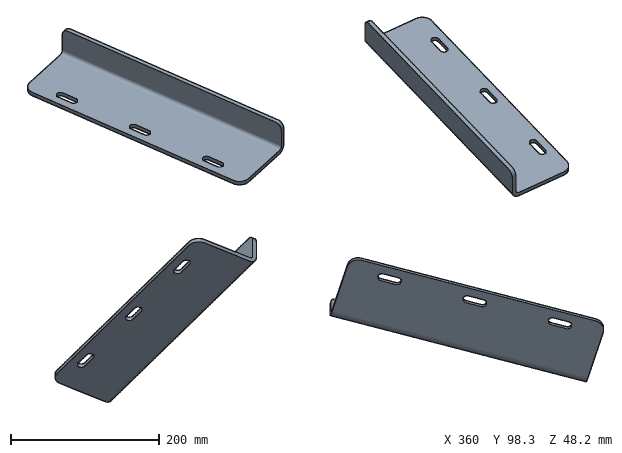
import cadquery as cq

length = 360.0
depth = 98.3
height = 48.2

thickness = 6.0
inner_bend_radius = 5.0
outer_bend_radius = inner_bend_radius + thickness

base_corner_radius = 15.0
flange_corner_radius = 10.0

slot_count = 3
slot_pitch = 120.0
slot_length = 32.5
slot_width = 10.8
slot_edge_distance = 17.3


def bent_sheet():
    """L-shaped sheet, with the upright flange along the back edge."""
    profile = (
        cq.Workplane("YZ")
        .polyline([
            (0, 0),
            (depth, 0),
            (depth, height),
            (depth - thickness, height),
            (depth - thickness, thickness),
            (0, thickness),
        ])
        .close()
        .extrude(length / 2, both=True)
    )
    bend_line = (0, depth, 0)
    inner_line = (0, depth - thickness, thickness)
    sheet = profile.edges(cq.NearestToPointSelector(bend_line)).fillet(outer_bend_radius)
    return sheet.edges(cq.NearestToPointSelector(inner_line)).fillet(inner_bend_radius)


def round_corners(sheet):
    """Round the front corners of the base and the top corners of the flange."""
    sheet = sheet.faces("<Y").edges("|Z").fillet(base_corner_radius)
    return sheet.faces(">Z").edges("|Y").fillet(flange_corner_radius)


def slot_cutters():
    """Slots running along X, centred on the length of the base."""
    first_x = -slot_pitch * (slot_count - 1) / 2
    centres = [(first_x + i * slot_pitch, slot_edge_distance) for i in range(slot_count)]
    return (
        cq.Workplane("XY")
        .pushPoints(centres)
        .slot2D(slot_length, slot_width)
        .extrude(thickness)
    )


result = round_corners(bent_sheet()).cut(slot_cutters())